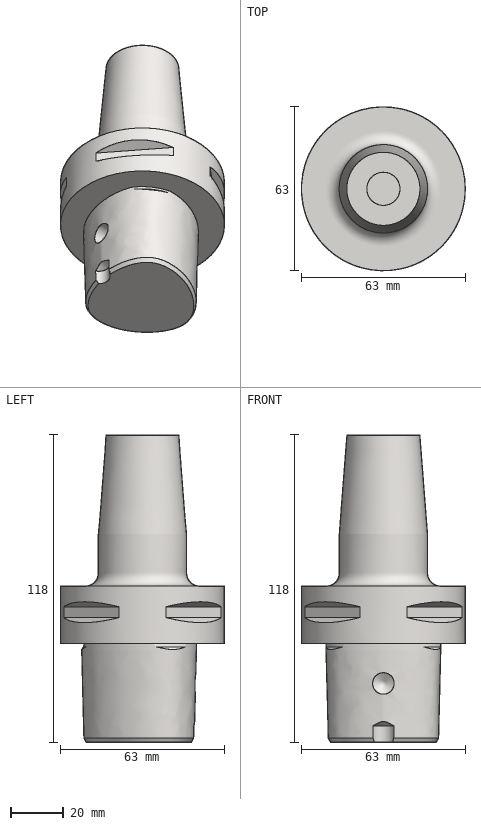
import cadquery as cq
import math

TOTAL_HEIGHT = 118.0
SHANK_HEIGHT = 38.0
FLANGE_HEIGHT = 22.1
FLANGE_TOP = SHANK_HEIGHT + FLANGE_HEIGHT
FLANGE_RADIUS = 63.0 / 2

NECK_RADIUS = 34.0 / 2
NECK_FILLET = 5.0
TAPER_START = 79.9
NOSE_RADIUS = 28.1 / 2
BORE_RADIUS = 12.7 / 2
BORE_DEPTH = 47.2

LOBE_COUNT = 3
LOBE_DIRECTION = math.pi / 2
LOBE_HEIGHT = 1.3
SHANK_TOP_RADIUS = 22.1
SHANK_BOTTOM_RADIUS = 21.2
COLLAR_HEIGHT = 2.8
TIP_BEVEL_HEIGHT = 1.8
TIP_BEVEL_WIDTH = 1.0
CURVE_POINTS = 72

RELIEF_RADIUS = 22.4
RELIEF_UPPER_WIDTH = 0.2
RELIEF_UPPER_HEIGHT = 1.3
RELIEF_LOWER_WIDTH = 0.8
RELIEF_LOWER_HEIGHT = 1.2

GROOVE_COUNT = 4
GROOVE_FIRST_ANGLE = 45.0
GROOVE_MIDDLE = 50.0
GROOVE_DEPTH = 3.8
GROOVE_FLOOR_HEIGHT = 4.1
GROOVE_MOUTH_HEIGHT = 8.0

DRILL_POINT_SLOPE = math.tan(math.radians(30))
SIDE_HOLE_RADIUS = 4.1
SIDE_HOLE_Z = 22.7
SIDE_HOLE_DEPTH = 7.1
KEYWAY_RADIUS = 4.4
KEYWAY_AXIS_Y = -21.5
KEYWAY_HEIGHT = 6.4


def lobed_wire(mean_radius, z):
    """Closed three-lobed curve: its distance to a tangent line varies as a cosine."""

    def point(t):
        angle = 2 * math.pi * t
        phase = LOBE_COUNT * (angle - LOBE_DIRECTION)
        reach = mean_radius + LOBE_HEIGHT * math.cos(phase)
        slide = -LOBE_COUNT * LOBE_HEIGHT * math.sin(phase)
        x = reach * math.cos(angle) - slide * math.sin(angle)
        y = reach * math.sin(angle) + slide * math.cos(angle)
        return cq.Vector(x, y, z)

    points = [point(i / CURVE_POINTS) for i in range(CURVE_POINTS)]
    return cq.Wire.assembleEdges([cq.Edge.makeSpline(points, periodic=True)])


def lobed_section(bottom_radius, bottom_z, top_radius, top_z):
    """Solid between two lobed curves at different heights."""
    wires = [lobed_wire(bottom_radius, bottom_z), lobed_wire(top_radius, top_z)]
    return cq.Workplane(cq.Solid.makeLoft(wires, True))


def make_shank():
    """Bevelled tip, tapered body and straight collar, with the lobes trimmed under the flange."""
    collar_z = SHANK_HEIGHT - COLLAR_HEIGHT
    tip_radius = SHANK_BOTTOM_RADIUS - TIP_BEVEL_WIDTH
    tip = lobed_section(tip_radius, 0, SHANK_BOTTOM_RADIUS, TIP_BEVEL_HEIGHT)
    body = lobed_section(SHANK_BOTTOM_RADIUS, TIP_BEVEL_HEIGHT, SHANK_TOP_RADIUS, collar_z)
    collar = lobed_section(SHANK_TOP_RADIUS, collar_z, SHANK_TOP_RADIUS, SHANK_HEIGHT)
    middle_radius = RELIEF_RADIUS + RELIEF_UPPER_WIDTH
    middle_z = SHANK_HEIGHT - RELIEF_UPPER_HEIGHT
    lower_z = middle_z - RELIEF_LOWER_HEIGHT
    relief = (
        cq.Workplane("XZ")
        .moveTo(RELIEF_RADIUS, SHANK_HEIGHT)
        .lineTo(middle_radius, middle_z)
        .lineTo(middle_radius + RELIEF_LOWER_WIDTH, lower_z)
        .lineTo(FLANGE_RADIUS, lower_z)
        .lineTo(FLANGE_RADIUS, SHANK_HEIGHT)
        .close()
        .revolve(360, (0, 0, 0), (0, 1, 0))
    )
    return tip.union(body).union(collar.cut(relief))


def make_flange_and_neck():
    """Revolved flange, filleted neck and tapered nose with its bore."""
    fillet_drop = NECK_FILLET * (1 - math.sqrt(0.5))
    profile = (
        cq.Workplane("XZ")
        .moveTo(0, SHANK_HEIGHT)
        .lineTo(FLANGE_RADIUS, SHANK_HEIGHT)
        .lineTo(FLANGE_RADIUS, FLANGE_TOP)
        .lineTo(NECK_RADIUS + NECK_FILLET, FLANGE_TOP)
        .threePointArc(
            (NECK_RADIUS + fillet_drop, FLANGE_TOP + fillet_drop),
            (NECK_RADIUS, FLANGE_TOP + NECK_FILLET),
        )
        .lineTo(NECK_RADIUS, TAPER_START)
        .lineTo(NOSE_RADIUS, TOTAL_HEIGHT)
        .lineTo(0, TOTAL_HEIGHT)
        .close()
    )
    body = profile.revolve(360, (0, 0, 0), (0, 1, 0))
    return body.faces(">Z").workplane().circle(BORE_RADIUS).cutBlind(-BORE_DEPTH)


def make_groove(angle):
    """Straight groove with sloping walls, cut into the flange in the given direction."""
    floor_x = FLANGE_RADIUS - GROOVE_DEPTH
    half_floor = GROOVE_FLOOR_HEIGHT / 2
    half_mouth = GROOVE_MOUTH_HEIGHT / 2
    return (
        cq.Workplane("XZ")
        .moveTo(floor_x, GROOVE_MIDDLE - half_floor)
        .lineTo(FLANGE_RADIUS, GROOVE_MIDDLE - half_mouth)
        .lineTo(FLANGE_RADIUS, GROOVE_MIDDLE + half_mouth)
        .lineTo(floor_x, GROOVE_MIDDLE + half_floor)
        .close()
        .extrude(FLANGE_RADIUS, both=True)
        .rotate((0, 0, 0), (0, 0, 1), angle)
    )


def make_drill(radius, length):
    """Drill shape along +Z from the origin: a cylinder followed by a conical point."""
    return (
        cq.Workplane("XZ")
        .lineTo(radius, 0)
        .lineTo(radius, length)
        .lineTo(0, length + radius * DRILL_POINT_SLOPE)
        .close()
        .revolve(360, (0, 0, 0), (0, 1, 0))
    )


result = make_flange_and_neck().union(make_shank())

for index in range(GROOVE_COUNT):
    result = result.cut(make_groove(GROOVE_FIRST_ANGLE + index * 360 / GROOVE_COUNT))

side_hole = make_drill(SIDE_HOLE_RADIUS, SIDE_HOLE_DEPTH).rotate((0, 0, 0), (1, 0, 0), -90)
result = result.cut(side_hole.translate((0, -SHANK_TOP_RADIUS, SIDE_HOLE_Z)))

result = result.cut(make_drill(KEYWAY_RADIUS, KEYWAY_HEIGHT).translate((0, KEYWAY_AXIS_Y, 0)))